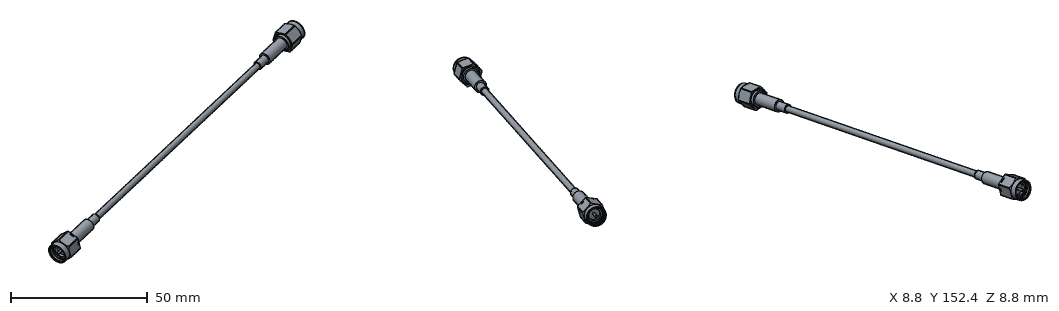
import cadquery as cq
import math

total_length = 152.4
face_y = total_length / 2

nose_diameter = 7.8
nose_length = 2.3
hex_width = 8.8
hex_length = 6.2
hex_turn = 15.0
corner_arc_angle = 4.0
hex_chamfer_angle = 30.0
rear_recess_diameter = 7.3
rear_recess_depth = 0.5

collar_diameter = 6.1
collar_length = 0.8
ferrule_diameter = 4.7
ferrule_length = 10.7
sleeve_diameter = 3.4
sleeve_length = 4.7
cable_diameter = 2.5

mouth_diameter = 7.0
bore_diameter = 6.4
bore_depth = 1.2
step_diameter = 5.8
step_depth = 1.8
inner_bore_diameter = 4.5
inner_bore_depth = 3.0
pin_diameter = 0.9

half_arc_angle = corner_arc_angle / 2
corner_diameter = hex_width / math.cos(math.radians(hex_turn - half_arc_angle))
across_flats = corner_diameter * math.cos(math.radians(30 - half_arc_angle))

hex_end = face_y - nose_length
hex_start = hex_end - hex_length
collar_start = hex_start - collar_length
ferrule_start = collar_start - ferrule_length
sleeve_start = ferrule_start - sleeve_length


def cylinder(diameter, start, end):
    """Cylinder on the Y axis from y = start to y = end."""
    disc = cq.Workplane("XZ", origin=(0, start, 0)).circle(diameter / 2)
    return disc.extrude(start - end)


def hexagon():
    """Hexagon with trimmed corners, chamfered by a cone where it meets the nose."""
    corner_radius = corner_diameter / 2
    nose_radius = nose_diameter / 2
    chamfer_length = (corner_radius - nose_radius) * math.tan(math.radians(hex_chamfer_angle))
    envelope = (
        cq.Workplane("XY")
        .moveTo(0, hex_start)
        .lineTo(corner_radius, hex_start)
        .lineTo(corner_radius, hex_end - chamfer_length)
        .lineTo(nose_radius, hex_end)
        .lineTo(0, hex_end)
        .close()
        .revolve(360, (0, 0, 0), (0, 1, 0))
    )
    full_corner_diameter = across_flats / math.cos(math.radians(30))
    prism = (
        cq.Workplane("XZ", origin=(0, hex_start, 0))
        .polygon(6, full_corner_diameter)
        .extrude(-hex_length)
        .rotate((0, 0, 0), (0, 1, 0), -hex_turn)
    )
    return prism.intersect(envelope)


def coupling_nut():
    """Hexagon and nose, with a shallow round recess in the rear face."""
    recess = cylinder(rear_recess_diameter, hex_start, hex_start + rear_recess_depth)
    return hexagon().cut(recess).union(cylinder(nose_diameter, hex_end, face_y))


def plug_body():
    """Sleeve, ferrule and collar; the collar runs on through the rear recess of the nut."""
    body = cylinder(sleeve_diameter, sleeve_start, ferrule_start)
    body = body.union(cylinder(ferrule_diameter, ferrule_start, collar_start))
    return body.union(cylinder(collar_diameter, collar_start, hex_start + rear_recess_depth))


def mating_socket():
    """Stepped bore with a 45 degree flare at its mouth."""
    mouth_radius = mouth_diameter / 2
    bore_radius = bore_diameter / 2
    step_radius = step_diameter / 2
    inner_radius = inner_bore_diameter / 2
    flare = mouth_radius - bore_radius
    return (
        cq.Workplane("XY")
        .moveTo(0, face_y)
        .lineTo(mouth_radius, face_y)
        .lineTo(bore_radius, face_y - flare)
        .lineTo(bore_radius, face_y - bore_depth)
        .lineTo(step_radius, face_y - bore_depth)
        .lineTo(step_radius, face_y - step_depth)
        .lineTo(inner_radius, face_y - step_depth)
        .lineTo(inner_radius, face_y - inner_bore_depth)
        .lineTo(0, face_y - inner_bore_depth)
        .close()
        .revolve(360, (0, 0, 0), (0, 1, 0))
    )


def plug():
    """Plug at the +Y end, with the contact pin reaching from the socket floor to the mating face."""
    pin = cylinder(pin_diameter, face_y - inner_bore_depth, face_y)
    return plug_body().union(coupling_nut()).cut(mating_socket()).union(pin)


plus_y_plug = plug()
minus_y_plug = plus_y_plug.rotate((0, 0, 0), (0, 0, 1), 180)
cable = cylinder(cable_diameter, -sleeve_start, sleeve_start)
result = cable.union(plus_y_plug).union(minus_y_plug)